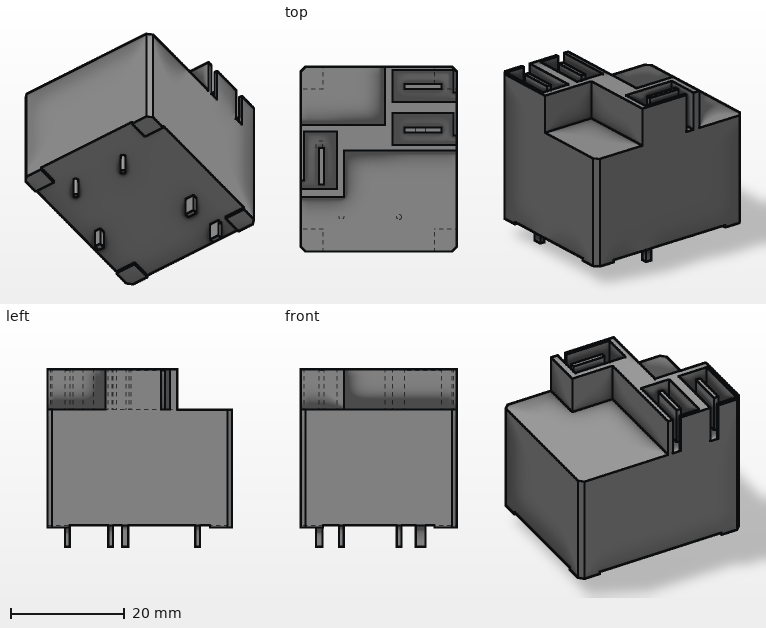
import cadquery as cq

length_x = 27.45
length_y = 32.5
body_height = 20.75
tower_height = 7.12
corner_chamfer = 0.85
foot_size = 3.93
foot_height = 0.42
left = -length_x / 2
right = length_x / 2
front = -length_y / 2
back = length_y / 2
top = body_height + tower_height

tower_back_left = left + 14.8
tower_step_back = front + 22.27
tower_step_front = front + 17.75
tower_left_front = front + 9.62
tower_left_right = left + 7.6

thin_wall = 0.6
rear_socket_length = 11.28
rear_socket_width = 5.65
rear_socket_gap = 1.7
terminal_pitch = 7.57
socket_fronts = [front + 26.27 - i * terminal_pitch for i in range(2)]
left_socket_right = left + 6.35
left_socket_front = front + 10.95
left_socket_back = front + 21.1
left_socket_gap = 1.53

blade_thickness = 0.88
blade_drop = 0.25
blade_height = tower_height - blade_drop
rear_blade_length = 6.5
rear_blade_x = left + 21.52
left_blade_length = 6.35
left_blade_x = left + 3.67
left_blade_y = front + 15.0
blade_ys = [front + 28.97 - i * terminal_pitch for i in range(2)]

pin_length = 3.38
flat_pin_width = 1.75
flat_pin_x = left + 21.1
square_pin_size = 1.17
square_pin_x = left + 3.25
square_pin_y = front + 18.82
round_pin_diameter = 0.88
round_pin_xs = [left + 7.15, left + 17.3]
round_pin_y = front + 6.08


def box_between(x0, x1, y0, y1, z0, z1):
    """Box spanning the given limits on each axis."""
    size = (x1 - x0, y1 - y0, z1 - z0)
    return cq.Workplane("XY").box(*size, centered=False).translate((x0, y0, z0))


def upright(x, y, size_x, size_y, z0, height):
    """Rectangular post centred at (x, y), rising from z0."""
    return cq.Workplane("XY").box(size_x, size_y, height, centered=(True, True, False)).translate((x, y, z0))


def chamfered_block(height):
    block = cq.Workplane("XY").box(length_x, length_y, height, centered=(True, True, False))
    return block.edges("|Z").chamfer(corner_chamfer)


def make_body():
    """Case block standing on four corner feet."""
    inner_x = length_x / 2 - foot_size
    inner_y = length_y / 2 - foot_size
    body = chamfered_block(body_height)
    body = body.cut(box_between(left, right, -inner_y, inner_y, 0, foot_height))
    return body.cut(box_between(-inner_x, inner_x, front, back, 0, foot_height))


def make_tower():
    """Stepped tower, trimmed to the chamfered case outline."""
    outline = [
        (left, tower_left_front),
        (tower_left_right, tower_left_front),
        (tower_left_right, tower_step_front),
        (right, tower_step_front),
        (right, back),
        (tower_back_left, back),
        (tower_back_left, tower_step_back),
        (left, tower_step_back),
    ]
    tower = cq.Workplane("XY").workplane(offset=body_height).polyline(outline).close().extrude(tower_height)
    return tower.intersect(chamfered_block(top))


def rear_socket(y0):
    """Socket opening toward +X through a gap at its front end."""
    x0 = right - rear_socket_length
    pocket = box_between(x0, right - thin_wall, y0, y0 + rear_socket_width, body_height, top)
    return pocket.union(box_between(x0, right, y0, y0 + rear_socket_gap, body_height, top))


def left_socket():
    """Socket opening toward -X through a gap at its front end."""
    y0 = left_socket_front
    pocket = box_between(left + thin_wall, left_socket_right, y0, left_socket_back, body_height, top)
    return pocket.union(box_between(left, left_socket_right, y0, y0 + left_socket_gap, body_height, top))


result = make_body().union(make_tower()).cut(left_socket())
for socket_front in socket_fronts:
    result = result.cut(rear_socket(socket_front))

result = result.union(
    upright(left_blade_x, left_blade_y, blade_thickness, left_blade_length, body_height, blade_height)
)
for y in blade_ys:
    result = result.union(
        upright(rear_blade_x, y, rear_blade_length, blade_thickness, body_height, blade_height)
    )

pin_height = pin_length + foot_height
for y in blade_ys:
    result = result.union(upright(flat_pin_x, y, flat_pin_width, blade_thickness, -pin_length, pin_height))
result = result.union(
    upright(square_pin_x, square_pin_y, square_pin_size, square_pin_size, -pin_length, pin_height)
)
for x in round_pin_xs:
    pin = cq.Workplane("XY").circle(round_pin_diameter / 2).extrude(pin_height)
    result = result.union(pin.translate((x, round_pin_y, -pin_length)))